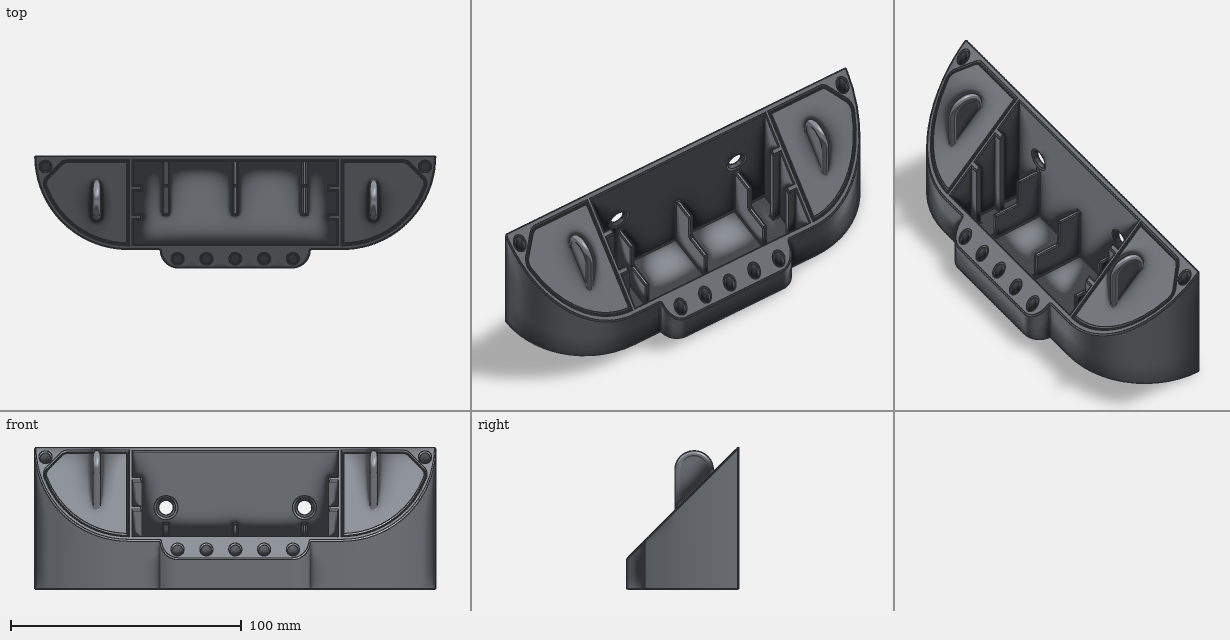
import cadquery as cq
import math

total_width = 173.75
total_depth = 48.58
peak_height = 62.0
wall = 2.0
floor = 2.0
edge_break = 0.5
sides = (-1, 1)
selection_margin = 0.1

nose_radius = 8.0
nose_half_width = 32.5
nose_root_fillet = 0.6

body_depth = total_depth - nose_radius
side_radius = body_depth
round_center_x = total_width / 2 - side_radius

partition_outer_x = round_center_x
partition_inner_x = partition_outer_x - wall
compartment_length = body_depth - 2 * wall

guide_length = 3.8
guide_thickness = 2.0
guide_ys = (-13.9, -26.5)

divider_thickness = 2.0
divider_spacing = 30.0
divider_end_y = -25.4
divider_step_y = -13.0
divider_high_z = 28.5
divider_low_z = 15.0

tool_hole_diameter = 4.7
nose_hole_count = 5
nose_hole_pitch = 12.5
nose_hole_y = -44.58
corner_hole_x = 82.2
corner_hole_y = -4.6

screw_x = 30.0
screw_z = 35.5
screw_diameter = 6.3
screw_cone_diameter = 8.4
screw_mouth_diameter = 10.4
screw_mouth_depth = 0.5

slant_margin = 3.75
pocket_fillet = 4.0
insert_clearance = 0.5
rim_spread = 0.4

handle_x = 60.0
handle_y = -19.36
handle_bend_z = 51.8
bar_diameter = 3.1
bend_radius = 6.82
web_thickness = 2.4
handle_root_z = 20.0
web_fillet = 0.5
foot_fillet = 0.5


def below_slope(drop=0.0):
    """Everything under the 45 degree top surface lowered by drop."""
    reach = 2 * peak_height
    return (
        cq.Workplane("YZ")
        .moveTo(reach, -reach)
        .lineTo(reach, peak_height - drop + reach)
        .lineTo(-reach, peak_height - drop - reach)
        .lineTo(-reach, -reach)
        .close()
        .extrude(total_width, both=True)
    )


def sloped_face(part):
    """The face of a part that lies in its 45 degree top."""
    upward = cq.Vector(0, -1, 1)
    return part.faces(cq.selectors.DirectionMinMaxSelector(upward, True))


def body_block():
    body = (
        cq.Workplane("XY")
        .moveTo(-total_width / 2, 0)
        .radiusArc((-round_center_x, -body_depth), -side_radius)
        .lineTo(round_center_x, -body_depth)
        .radiusArc((total_width / 2, 0), -side_radius)
        .close()
        .extrude(peak_height)
    )
    nose = (
        cq.Workplane("XY")
        .rect(2 * nose_half_width, total_depth)
        .extrude(peak_height)
        .translate((0, -total_depth / 2, 0))
        .edges("|Z and <Y")
        .fillet(nose_radius)
    )
    nose_roots = cq.selectors.BoxSelector(
        (-nose_half_width - 1, -body_depth - 1, 0),
        (nose_half_width + 1, -body_depth + 1, peak_height),
    )
    block = body.union(nose).edges("|Z").edges(nose_roots).fillet(nose_root_fillet)
    block = block.intersect(below_slope())
    top_edges = sloped_face(block).edges().vals()
    bottom_edges = block.faces("<Z").edges().vals()
    back_edges = block.edges("|Z and >Y").vals()
    return block.newObject(top_edges + bottom_edges + back_edges).chamfer(edge_break)


def divider(x):
    return (
        cq.Workplane("YZ", origin=(x, 0, 0))
        .moveTo(0, 0)
        .lineTo(0, divider_high_z)
        .lineTo(divider_step_y, divider_high_z)
        .lineTo(divider_step_y, divider_low_z)
        .lineTo(divider_end_y, divider_low_z)
        .lineTo(divider_end_y, 0)
        .close()
        .extrude(divider_thickness / 2, both=True)
    )


def chamfer_divider_roots(cavity):
    """Slopes along the floor and where the dividers meet the back wall."""
    reach_x = divider_spacing + divider_thickness
    at_dividers = cq.selectors.BoxSelector((-reach_x, -wall - 1, floor), (reach_x, 0, divider_high_z + 1))
    root_edges = cavity.faces(">Y").edges(at_dividers).vals()
    floor_edges = cavity.faces("<Z").edges().vals()
    return cavity.newObject(root_edges + floor_edges).chamfer(edge_break)


def chamfer_divider_edges(cavity):
    """Broken tops and front edges of the dividers, between their roots."""
    reach_x = divider_spacing + divider_thickness
    root = edge_break + selection_margin
    above_roots = cq.selectors.BoxSelector(
        (-reach_x, divider_end_y - selection_margin, floor + root),
        (reach_x, -wall - root, divider_high_z + selection_margin),
    )
    return cavity.edges(above_roots).chamfer(edge_break)


def compartment():
    """The space inside the middle compartment."""
    cavity = (
        cq.Workplane("XY", origin=(0, -wall - compartment_length / 2, floor))
        .rect(2 * partition_inner_x, compartment_length)
        .extrude(peak_height)
    )
    for side in sides:
        for guide_y in guide_ys:
            guide = cq.Workplane("XY").box(2 * guide_length, guide_thickness, 3 * peak_height)
            cavity = cavity.cut(guide.translate((side * partition_inner_x, guide_y, 0)))
    for index in (-1, 0, 1):
        cavity = cavity.cut(divider(index * divider_spacing))
    cavity = chamfer_divider_roots(cavity)
    return chamfer_divider_edges(cavity)


def tool_holes():
    spots = [(side * corner_hole_x, corner_hole_y) for side in sides]
    for index in range(nose_hole_count):
        spots.append(((index - (nose_hole_count - 1) / 2) * nose_hole_pitch, nose_hole_y))
    return (
        cq.Workplane("XY", origin=(0, 0, floor))
        .pushPoints(spots)
        .circle(tool_hole_diameter / 2)
        .extrude(peak_height)
        .faces("<Z")
        .chamfer(edge_break)
    )


def screw_hole(x):
    """A cone through the back wall that flares at its mouth."""
    return (
        cq.Workplane("XY", origin=(x, 0, screw_z))
        .moveTo(0, 0)
        .lineTo(screw_diameter / 2, 0)
        .lineTo(screw_cone_diameter / 2, -wall + screw_mouth_depth)
        .lineTo(screw_mouth_diameter / 2, -wall)
        .lineTo(0, -wall)
        .close()
        .revolve(360, (0, 0, 0), (0, 1, 0))
    )


def pocket_prism(growth=0.0):
    """Quarter round cut off by a slanted wall beside the corner hole, its walls moved out by growth."""
    inner_x = partition_outer_x - growth
    back_y = growth - wall
    radius = side_radius - wall + growth
    slant_sum = corner_hole_x + corner_hole_y - (slant_margin - growth) * math.sqrt(2)
    slant_offset = slant_sum - round_center_x
    slant_end = (slant_offset + math.sqrt(2 * radius**2 - slant_offset**2)) / 2
    front_y = -math.sqrt(radius**2 - growth**2)
    return (
        cq.Workplane("XY", origin=(0, 0, floor))
        .moveTo(inner_x, back_y)
        .lineTo(slant_sum - back_y, back_y)
        .lineTo(round_center_x + slant_end, slant_offset - slant_end)
        .radiusArc((inner_x, front_y), radius)
        .close()
        .extrude(peak_height)
        .edges("|Z and (not <X)")
        .fillet(pocket_fillet + growth)
    )


def with_broken_rim(lower_part, top_growth):
    """Join a part cut off below the sloped top to the slanted band of its rim."""
    upper_part = pocket_prism(top_growth).intersect(below_slope())
    lower_rim = sloped_face(lower_part).val().outerWire()
    upper_rim = sloped_face(upper_part).val().outerWire()
    band = cq.Workplane(cq.Solid.makeLoft([lower_rim, upper_rim], True))
    return lower_part.union(band)


def pocket():
    lower_part = pocket_prism().faces("<Z").chamfer(edge_break).intersect(below_slope(edge_break))
    return with_broken_rim(lower_part, rim_spread)


def handle_path():
    back_leg_y = handle_y + bend_radius
    front_leg_y = handle_y - bend_radius
    return (
        cq.Workplane("YZ", origin=(handle_x, 0, 0))
        .moveTo(front_leg_y, handle_root_z)
        .lineTo(front_leg_y, handle_bend_z)
        .threePointArc((handle_y, handle_bend_z + bend_radius), (back_leg_y, handle_bend_z))
        .lineTo(back_leg_y, handle_root_z)
    )


def handle():
    bar = (
        cq.Workplane("XY", origin=(handle_x, handle_y - bend_radius, handle_root_z))
        .circle(bar_diameter / 2)
        .sweep(handle_path())
    )
    web = handle_path().close().extrude(web_thickness / 2, both=True)
    web_reach_x = web_thickness / 2 + selection_margin
    web_reach_y = bend_radius - bar_diameter / 4
    web_seams = cq.selectors.BoxSelector(
        (handle_x - web_reach_x, handle_y - web_reach_y, handle_root_z + selection_margin),
        (handle_x + web_reach_x, handle_y + web_reach_y, handle_bend_z + bend_radius),
    )
    return bar.union(web).edges(web_seams).fillet(web_fillet)


def handle_foot_edges(part):
    """Edges where the handle stands on the sloped top."""
    feet = []
    for edge in part.edges().vals():
        center = edge.Center()
        on_slope = abs(center.z - center.y - peak_height) < selection_margin
        if on_slope and abs(center.x - handle_x) < bar_diameter:
            if abs(center.y - handle_y) < bend_radius + bar_diameter:
                feet.append(edge)
    return part.newObject(feet)


def insert():
    lower_part = pocket_prism(-insert_clearance).intersect(below_slope(edge_break))
    body = with_broken_rim(lower_part, -insert_clearance - rim_spread).union(handle())
    return handle_foot_edges(body).fillet(foot_fillet)


def housing_body():
    body = body_block().cut(tool_holes()).cut(compartment())
    inner_rims = [edge for wire in sloped_face(body).val().innerWires() for edge in wire.Edges()]
    body = body.newObject(inner_rims).chamfer(edge_break)
    for side in sides:
        body = body.cut(screw_hole(side * screw_x))
    pocket_space = pocket()
    return body.cut(pocket_space).cut(pocket_space.mirror("YZ"))


housing = housing_body()
right_insert = insert()
left_insert = right_insert.mirror("YZ")
result = cq.Compound.makeCompound([housing.val(), right_insert.val(), left_insert.val()])